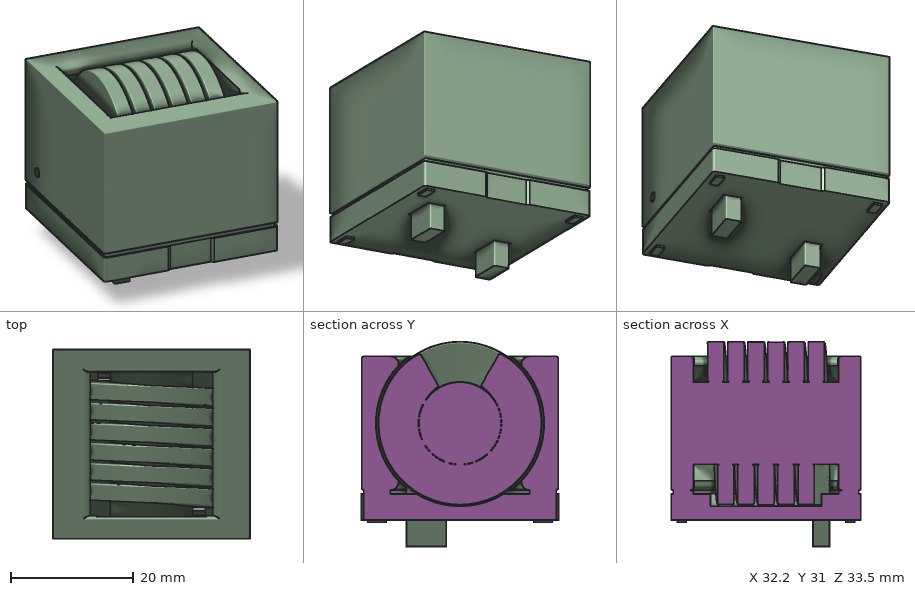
import math

import cadquery as cq

width = 32.2
depth = 31.0
height = 33.5

core_bottom = 9.2
core_top = 31.12
core_height = core_top - core_bottom
axis_z = (core_bottom + core_top) / 2
core_long_edge_radius = 0.45
core_end_edge_radius = 0.17
post_diameter = 13.5
post_embedding = 0.67
cavity_diameter = 27.47
cavity_length = 23.65
window_width = 20.03
window_length = 23.45
window_side_radius = 1.35
window_end_radius = 0.65

coil_radius = height - axis_z
wire_radial = 6.55
wire_axial = 2.75
wire_corner_radius = 0.27
coil_inner_radius = coil_radius - wire_radial
coil_mean_radius = coil_radius - wire_radial / 2
pitch = 3.28
turns = 5.5
coil_travel = pitch * turns

pin_inner_x = 2.2
pin_center_x = pin_inner_x + wire_radial / 2
pin_center_y = coil_travel / 2

base_bottom = 4.32
base_top = 8.6
base_corner_radius = 0.47
neck_inset = 0.3
notch_depth = 0.35
notch_floor_width = 7.25
notch_mouth_width = 8.17
coil_clearance = 0.2
pin_slot_gap = 0.4
pin_ledge_width = 0.8
pin_ledge_z = 6.35

foot_length = 3.0
foot_width = 1.47
foot_height = 0.35
foot_center_x = 13.57
foot_center_y = 13.8
dot_diameter = 1.6
dot_x = -11.3
dot_z = 12.55
dot_depth = 0.1


def box_between(x_size, y_size, z_low, z_high, x=0, y=0):
    """Box centred on (x, y) in plan and spanning z_low to z_high."""
    plan = cq.Workplane("XY", origin=(x, y, z_low)).rect(x_size, y_size)
    return plan.extrude(z_high - z_low)


def axial_cylinder(diameter, length):
    """Cylinder on the winding axis, centred along Y."""
    return cq.Workplane("XZ", origin=(0, 0, axis_z)).circle(diameter / 2).extrude(length / 2, both=True)


def flared_prism(plane, opening, flare_radius, length):
    """Vertical slab whose walls flare out as rounded lips at the core's top and bottom."""
    half = opening / 2
    lip = half + flare_radius
    top = core_height / 2
    neck = top - flare_radius
    bend = flare_radius * (1 - math.sqrt(0.5))
    profile = (
        cq.Workplane(plane, origin=(0, 0, axis_z))
        .moveTo(-half, -neck)
        .lineTo(-half, neck)
        .threePointArc((-half - bend, top - bend), (-lip, top))
        .lineTo(lip, top)
        .threePointArc((half + bend, top - bend), (half, neck))
        .lineTo(half, -neck)
        .threePointArc((half + bend, bend - top), (lip, -top))
        .lineTo(-lip, -top)
        .threePointArc((-half - bend, bend - top), (-half, -neck))
        .close()
    )
    return profile.extrude(length / 2, both=True)


def make_core():
    core = box_between(width, depth, core_bottom, core_top)
    core = core.edges("|Y").fillet(core_long_edge_radius)
    core = core.faces("<Y or >Y").edges().fillet(core_end_edge_radius)

    side_flare = flared_prism("XZ", window_width, window_side_radius, depth)
    end_flare = flared_prism("YZ", window_length, window_end_radius, width)
    core = core.cut(side_flare.intersect(end_flare))
    core = core.cut(axial_cylinder(cavity_diameter, cavity_length))
    core = core.union(axial_cylinder(post_diameter, cavity_length + 2 * post_embedding))

    dot = cq.Workplane("XZ", origin=(dot_x, -depth / 2, dot_z)).circle(dot_diameter / 2).extrude(-dot_depth)
    return core.cut(dot)


def wire_section():
    """Rounded wire section at the coil's mean radius, in a local XZ plane with Z as the coil axis."""
    section = cq.Sketch().rect(wire_radial, wire_axial).vertices().fillet(wire_corner_radius)
    return cq.Workplane("XZ").placeSketch(section.moved(cq.Location(cq.Vector(coil_mean_radius, 0, 0))))


def make_winding():
    helix = cq.Wire.makeHelix(pitch, coil_travel, coil_mean_radius, lefthand=True)
    coil = wire_section().sweep(cq.Workplane(obj=helix), isFrenet=True)
    coil_plane = cq.Plane(origin=(0, pin_center_y, axis_z), xDir=(-1, 0, 0), normal=(0, -1, 0))
    winding = cq.Workplane(obj=coil.val().moved(cq.Location(coil_plane)))

    pin_drop = math.sqrt(coil_inner_radius**2 - pin_inner_x**2)
    bend_angle = math.degrees(math.acos(pin_inner_x / coil_inner_radius))
    bend = wire_section().revolve(bend_angle, (0, 0, 0), (0, 1, 0)).val()
    for side in (-1, 1):
        bend_plane = cq.Plane(
            origin=(0, -side * pin_center_y, axis_z), xDir=(side, 0, 0), normal=(0, side, 0)
        )
        pin = box_between(
            wire_radial, wire_axial, 0, axis_z - pin_drop, side * pin_center_x, -side * pin_center_y
        )
        winding = winding.union(cq.Workplane(obj=bend.moved(cq.Location(bend_plane))))
        winding = winding.union(pin.edges("|Z").fillet(wire_corner_radius))
    return winding


def make_base():
    base = box_between(width, depth, base_bottom, base_top).edges("|Z").fillet(base_corner_radius)

    for side in (-1, 1):
        outer_x = side * width / 2
        floor_x = outer_x - side * notch_depth
        notch = (
            cq.Workplane("XY", origin=(0, 0, base_bottom))
            .polyline([
                (outer_x, -notch_mouth_width / 2),
                (floor_x, -notch_floor_width / 2),
                (floor_x, notch_floor_width / 2),
                (outer_x, notch_mouth_width / 2),
            ])
            .close()
            .extrude(base_top - base_bottom)
        )
        base = base.cut(notch)

    neck = box_between(width - 2 * neck_inset, depth - 2 * neck_inset, base_top, core_bottom)
    base = base.union(neck.edges("|Z").fillet(base_corner_radius))
    base = base.cut(box_between(window_width + 2 * window_side_radius, cavity_length, base_top, core_bottom))

    base = base.cut(axial_cylinder(2 * (coil_radius + coil_clearance), coil_travel))

    slot_width = wire_axial + pin_slot_gap
    recess_width = slot_width + pin_ledge_width
    pin_edge_y = pin_center_y - wire_axial / 2
    for side in (-1, 1):
        x = side * pin_center_x
        slot_y = -side * (pin_edge_y + slot_width / 2)
        recess_y = -side * (pin_edge_y + recess_width / 2)
        base = base.cut(box_between(wire_radial, slot_width, base_bottom, base_top, x, slot_y))
        base = base.cut(box_between(wire_radial, recess_width, pin_ledge_z, base_top, x, recess_y))

    for x in (-foot_center_x, foot_center_x):
        for y in (-foot_center_y, foot_center_y):
            base = base.union(
                box_between(foot_length, foot_width, base_bottom - foot_height, base_bottom, x, y)
            )
    return base


inductor = make_base().union(make_core()).union(make_winding())
result = cq.Workplane(obj=inductor.solids().val())